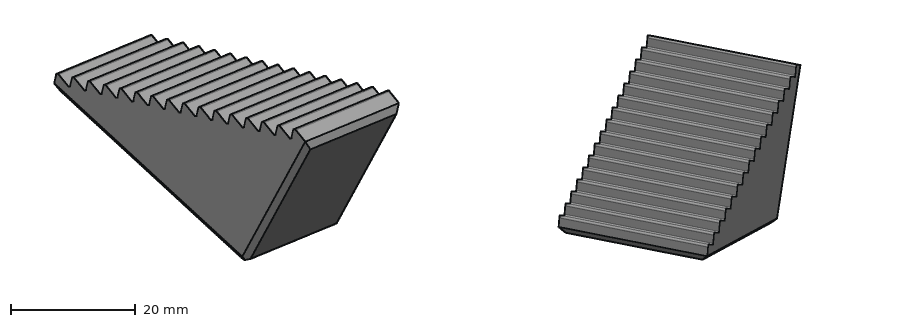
import cadquery as cq
import math

width = 25.0
long_face_length = 44.4
long_face_angle = 30.0
short_face_angle = 90.0 - long_face_angle
edge_chamfer = 1.0

tooth_count = 16
tooth_pitch = 3.175
flank_angle = 75.0
back_angle = 40.0
first_flank_length = 3.108
crest_radius = 0.3
root_radius = 0.2

selection_margin = 0.01


def slope(angle):
    return math.tan(math.radians(angle))


def polar(length, angle):
    return (length * math.cos(math.radians(angle)), length * math.sin(math.radians(angle)))


tip_x, tip_z = polar(long_face_length, 180.0 - long_face_angle)
flank_run, flank_rise = polar(first_flank_length, flank_angle)
first_crest_x = tip_x + flank_run
crest_z = tip_z + flank_rise

tooth_height = tooth_pitch / (1 / slope(flank_angle) + 1 / slope(back_angle))
root_z = crest_z - tooth_height
root_offset_x = tooth_height / slope(back_angle)

last_crest_x = first_crest_x + (tooth_count - 1) * tooth_pitch
end_x = (crest_z + last_crest_x * slope(back_angle)) / (slope(short_face_angle) + slope(back_angle))
end_z = end_x * slope(short_face_angle)


def wedge_profile():
    points = [(0, 0), (tip_x, tip_z)]
    for tooth in range(tooth_count):
        crest_x = first_crest_x + tooth * tooth_pitch
        points.append((crest_x, crest_z))
        if tooth < tooth_count - 1:
            points.append((crest_x + root_offset_x, root_z))
    points.append((end_x, end_z))
    return cq.Workplane("XZ").polyline(points).close()


def edges_at_height(z):
    """Selector for the tooth edges whose centres lie at height z."""
    return cq.selectors.BoxSelector(
        (tip_x, -width, z - selection_margin),
        (end_x - edge_chamfer, width, z + selection_margin),
    )


def round_teeth(body):
    body = body.edges("|Y").edges(edges_at_height(crest_z)).fillet(crest_radius)
    return body.edges("|Y").edges(edges_at_height(root_z)).fillet(root_radius)


def chamfer_lower_faces(body):
    """Chamfer the edges around the long and short faces, except the edge they share."""
    long_face_middle = (tip_x / 2, 0, tip_z / 2)
    short_face_middle = (end_x / 2, 0, end_z / 2)
    long_face = body.faces(cq.NearestToPointSelector(long_face_middle))
    short_face = body.faces(cq.NearestToPointSelector(short_face_middle))
    shared_edge = cq.NearestToPointSelector((0, 0, 0))
    outer_edges = long_face.add(short_face).edges(cq.selectors.InverseSelector(shared_edge))
    return outer_edges.chamfer(edge_chamfer)


def cut_bottom_corner(body):
    """Cut the bottom corner flat across, through the mitres of the side chamfers."""
    corner = [
        (0, 0),
        polar(edge_chamfer, 180.0 - long_face_angle),
        polar(edge_chamfer, short_face_angle),
    ]
    return body.cut(cq.Workplane("XZ").polyline(corner).close().extrude(width / 2, both=True))


wedge = wedge_profile().extrude(width / 2, both=True)
result = round_teeth(cut_bottom_corner(chamfer_lower_faces(wedge)))